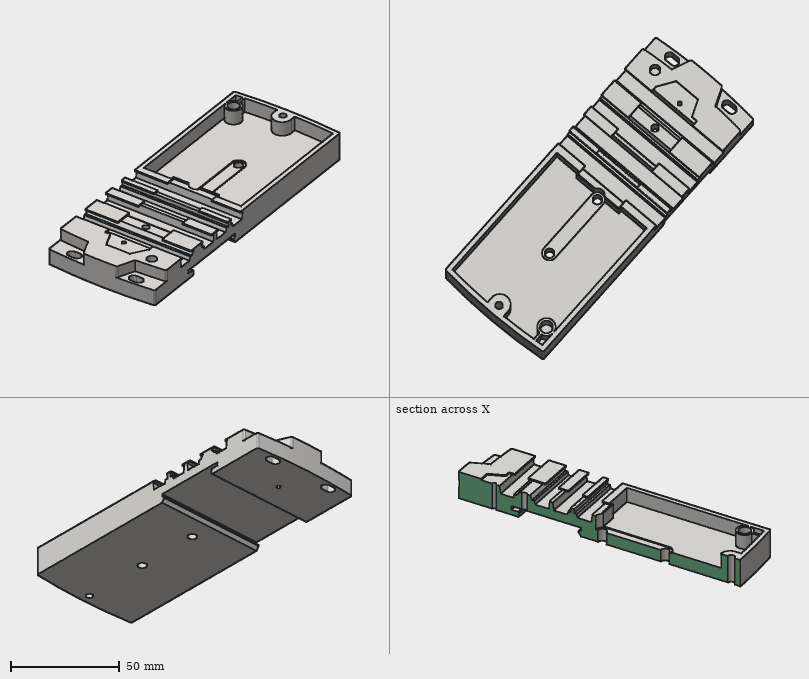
import cadquery as cq
import math

WIDTH = 60.0
LENGTH = 151.82
HEIGHT = 14.6
HALF_WIDTH = WIDTH / 2
END_RADIUS = 300.0
CORNER_RADIUS = 0.75

LIP = 0.7
RIB_TOP = HEIGHT - LIP

GROOVE_FLOOR = 9.8
LEDGE_TOP = 11.7

RAIL_CEILING = 4.7
RAIL_BACK = 65.9
RAIL_FRONT = 28.6
NOSE_TIP = 64.5
NOSE_TOP = 3.4
NOSE_FLAT_TOP = 2.6
NOSE_FLAT_BOTTOM = 2.0
CATCH_TIP = 32.8
CATCH_TOP = 3.0
CATCH_CHAMFER = 0.6

CHANNEL_LEFT = -11.5
CHANNEL_RIGHT = 13.5
CHANNEL_BACK = 75.6
CHANNEL_FRONT = 20.4
CHANNEL_END_WALL = 0.5

POCKET_SHOULDER_X = -8.5
POCKET_TIP_LEFT = -5.2
POCKET_TIP_RIGHT = 8.2
POCKET_TIP_Y = 12.3

WALL = 2.5
CAVITY_FRONT = 74.3
CAVITY_FLOOR = 7.0

SCREW_BOSS_RADIUS = 5.0
SCREW_BOSS_Y = 146.3
SCREW_HOLE_Y = 146.9
SCREW_HOLE_DIAMETER = 3.5
RING_X = -23.3
RING_Y = 140.3
RING_DIAMETER = 8.5
RING_BORE = 6.0
RING_RIB_WIDTH = 1.3
SLOT_WIDTH = 7.0
SLOT_DEPTH = 0.5
SLOT_HOLE_DIAMETER = 4.5
SLOT_HOLES_Y = (77.4, 111.2)

STEP_HEIGHT = 8.4
STEP_SETBACK = 9.1
STEP_INNER_X = 13.3
STEP_MOUTH_X = 9.4
MOUNT_SLOT_X = 17.5
MOUNT_SLOT_Y = 4.4
MOUNT_SLOT_LENGTH = 7.5
MOUNT_SLOT_WIDTH = 4.5
BLIND_HOLE_X = 19.0
BLIND_HOLE_Y = 14.7
BLIND_HOLE_DIAMETER = 5.0
BLIND_HOLE_DEPTH = HEIGHT - STEP_HEIGHT
PIN_HOLE_Y = 19.2
PIN_HOLE_DIAMETER = 2.0
RIB_HOLE_X = 1.0
RIB_HOLE_Y = 35.5
RIB_HOLE_DIAMETER = 3.5


def sag(x, radius):
    """Drop of an end arc, measured from its apex, at distance x from the centreline."""
    return radius - math.sqrt(radius**2 - x**2)


def box(x_range, y_range, z_range):
    """Axis-aligned box between the given limits."""
    (x0, x1), (y0, y1), (z0, z1) = x_range, y_range, z_range
    return cq.Workplane("XY").box(x1 - x0, y1 - y0, z1 - z0, centered=False).translate((x0, y0, z0))


def cylinder(x, y, diameter, bottom, top):
    """Vertical cylinder centred at (x, y)."""
    return cq.Workplane("XY", origin=(x, y, bottom)).circle(diameter / 2).extrude(top - bottom)


def through_hole(x, y, diameter):
    """Cutter for a hole through the full height."""
    return cylinder(x, y, diameter, 0, HEIGHT)


def across_width(points):
    """Prism spanning the full width from a closed (y, z) outline."""
    return cq.Workplane("YZ", origin=(-HALF_WIDTH, 0, 0)).polyline(points).close().extrude(WIDTH)


def make_body():
    """Full-height slab with bulging ends and rounded vertical corners."""
    drop = sag(HALF_WIDTH, END_RADIUS)
    return (
        cq.Workplane("XY")
        .moveTo(-HALF_WIDTH, drop)
        .threePointArc((0, 0), (HALF_WIDTH, drop))
        .lineTo(HALF_WIDTH, LENGTH - drop)
        .threePointArc((0, LENGTH), (-HALF_WIDTH, LENGTH - drop))
        .close()
        .extrude(HEIGHT)
        .edges("|Z")
        .fillet(CORNER_RADIUS)
    )


def make_grooves():
    """Four transverse grooves; each narrows at the top between two overhanging lips."""
    grooves = [
        ((62.8, 70.4), [(62.4, RIB_TOP), (62.4, LEDGE_TOP), (63.75, LEDGE_TOP), (64.1, GROOVE_FLOOR),
                        (71.4, GROOVE_FLOOR), (72.0, RIB_TOP)]),
        ((52.3, 59.9), [(50.9, RIB_TOP), (51.5, GROOVE_FLOOR), (58.3, GROOVE_FLOOR), (59.1, LEDGE_TOP),
                        (60.4, LEDGE_TOP), (60.4, RIB_TOP)]),
        ((40.0, 47.1), [(38.6, RIB_TOP), (39.7, LEDGE_TOP), (40.9, LEDGE_TOP), (41.4, GROOVE_FLOOR),
                        (48.5, GROOVE_FLOOR), (49.0, RIB_TOP)]),
        ((23.4, 30.7), [(22.2, RIB_TOP), (22.8, GROOVE_FLOOR), (29.3, GROOVE_FLOOR), (29.9, LEDGE_TOP),
                        (31.2, LEDGE_TOP), (32.9, RIB_TOP)]),
    ]
    cutter = cq.Workplane("XY")
    for lip_gap, outline in grooves:
        cutter = cutter.add(across_width(outline))
        cutter = cutter.add(box((-HALF_WIDTH, HALF_WIDTH), lip_gap, (RIB_TOP, HEIGHT)))
    return cutter.combine()


def make_rail_slot():
    """Underside slot with a tapered nose at the back and a hooked catch at the front."""
    return across_width([
        (RAIL_BACK, 0),
        (NOSE_TIP, NOSE_FLAT_BOTTOM),
        (NOSE_TIP, NOSE_FLAT_TOP),
        (RAIL_BACK, NOSE_TOP),
        (RAIL_BACK, RAIL_CEILING),
        (RAIL_FRONT, RAIL_CEILING),
        (RAIL_FRONT, CATCH_TOP),
        (CATCH_TIP - CATCH_CHAMFER, CATCH_TOP),
        (CATCH_TIP, CATCH_TOP - CATCH_CHAMFER),
        (CATCH_TIP, CATCH_CHAMFER),
        (CATCH_TIP - CATCH_CHAMFER, 0),
    ])


def make_channel():
    """Shallow central recess along the ribs, ending in the tapered front pocket."""
    return (
        cq.Workplane("XY", origin=(0, 0, RIB_TOP))
        .polyline([
            (CHANNEL_LEFT, CHANNEL_BACK),
            (CHANNEL_LEFT, CHANNEL_FRONT),
            (POCKET_SHOULDER_X, CHANNEL_FRONT),
            (POCKET_TIP_LEFT, POCKET_TIP_Y),
            (POCKET_TIP_RIGHT, POCKET_TIP_Y),
            (CHANNEL_RIGHT, CHANNEL_FRONT),
            (CHANNEL_RIGHT, CHANNEL_BACK),
        ])
        .close()
        .extrude(LIP)
    )


def make_cavity():
    """Open-topped pocket in the back block, less the bosses that stand in it."""
    half = HALF_WIDTH - WALL
    apex = LENGTH - WALL
    corner = apex - sag(half, END_RADIUS - WALL)
    depth = HEIGHT - CAVITY_FLOOR
    cavity = (
        cq.Workplane("XY", origin=(0, 0, CAVITY_FLOOR))
        .moveTo(-half, CAVITY_FRONT)
        .lineTo(half, CAVITY_FRONT)
        .lineTo(half, corner)
        .threePointArc((0, apex), (-half, corner))
        .close()
        .extrude(depth)
    )
    heights = (CAVITY_FLOOR, HEIGHT)
    screw_boss = cylinder(0, SCREW_BOSS_Y, 2 * SCREW_BOSS_RADIUS, *heights).union(
        box((-SCREW_BOSS_RADIUS, SCREW_BOSS_RADIUS), (SCREW_BOSS_Y, LENGTH), heights)
    )
    ring = cylinder(RING_X, RING_Y, RING_DIAMETER, *heights)
    ring_rib = box((RING_X - RING_RIB_WIDTH / 2, RING_X + RING_RIB_WIDTH / 2), (RING_Y, LENGTH), heights)
    channel_end = box(
        (CHANNEL_LEFT - CHANNEL_END_WALL, CHANNEL_RIGHT + CHANNEL_END_WALL),
        (CAVITY_FRONT, CHANNEL_BACK + CHANNEL_END_WALL),
        heights,
    )
    return cavity.cut(screw_boss).cut(ring).cut(ring_rib).cut(channel_end)


def make_floor_slot():
    """Round-ended recess in the cavity floor that also bites into the front wall."""
    front, back = SLOT_HOLES_Y
    bottom = CAVITY_FLOOR - SLOT_DEPTH
    return (
        cq.Workplane("XY", origin=(0, (front + back) / 2, bottom))
        .slot2D(back - front + SLOT_WIDTH, SLOT_WIDTH, 90)
        .extrude(HEIGHT - bottom)
    )


def make_step(side):
    """Front corner step for side -1 (left) or +1 (right), its wall parallel to the front arc."""
    radius = END_RADIUS - STEP_SETBACK

    def wall_point(x):
        return (side * x, STEP_SETBACK + sag(x, radius))

    middle = (STEP_INNER_X + HALF_WIDTH) / 2
    return (
        cq.Workplane("XY", origin=(0, 0, STEP_HEIGHT))
        .moveTo(side * STEP_MOUTH_X, 0)
        .lineTo(*wall_point(STEP_INNER_X))
        .threePointArc(wall_point(middle), wall_point(HALF_WIDTH))
        .lineTo(side * HALF_WIDTH, 0)
        .close()
        .extrude(HEIGHT - STEP_HEIGHT)
    )


def round_step_edges(body):
    """Round the outward vertical edges left by the two front steps."""
    above_step = (STEP_HEIGHT + HEIGHT) / 2
    wall_end_y = STEP_SETBACK + sag(HALF_WIDTH, END_RADIUS - STEP_SETBACK)
    for side in (-1, 1):
        for x, y in ((HALF_WIDTH, wall_end_y), (STEP_MOUTH_X, 0)):
            nearest = cq.selectors.NearestToPointSelector((side * x, y, above_step))
            body = body.edges("|Z").edges(nearest).fillet(CORNER_RADIUS)
    return body


def make_mount_slot(side):
    """Obround through slot in the floor of a front step."""
    return (
        cq.Workplane("XY", origin=(side * MOUNT_SLOT_X, MOUNT_SLOT_Y, 0))
        .slot2D(MOUNT_SLOT_LENGTH, MOUNT_SLOT_WIDTH)
        .extrude(HEIGHT)
    )


body = make_body()
for step_side in (-1, 1):
    body = body.cut(make_step(step_side))
body = round_step_edges(body)

body = body.cut(make_grooves()).cut(make_rail_slot()).cut(make_channel())
body = body.cut(make_cavity()).cut(make_floor_slot())

for mount_side in (-1, 1):
    body = body.cut(make_mount_slot(mount_side))
for slot_hole_y in SLOT_HOLES_Y:
    body = body.cut(through_hole(0, slot_hole_y, SLOT_HOLE_DIAMETER))
body = body.cut(through_hole(0, SCREW_HOLE_Y, SCREW_HOLE_DIAMETER))
body = body.cut(through_hole(RIB_HOLE_X, RIB_HOLE_Y, RIB_HOLE_DIAMETER))
body = body.cut(through_hole(0, PIN_HOLE_Y, PIN_HOLE_DIAMETER))
body = body.cut(cylinder(RING_X, RING_Y, RING_BORE, CAVITY_FLOOR, HEIGHT))
body = body.cut(cylinder(BLIND_HOLE_X, BLIND_HOLE_Y, BLIND_HOLE_DIAMETER, HEIGHT - BLIND_HOLE_DEPTH, HEIGHT))

result = body